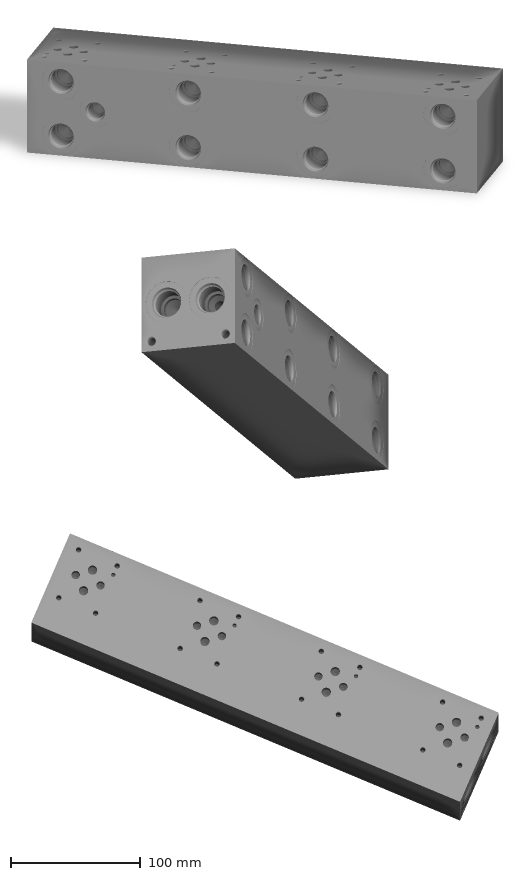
import cadquery as cq
import math

LENGTH = 358.8
SIDE = 76.0

STATIONS = 4
STATION_PITCH = 101.5
FIRST_STATION = 27.0
station_xs = [FIRST_STATION + i * STATION_PITCH for i in range(STATIONS)]

SPOTFACE_DEPTH = 0.5
SEAL_CONE_DEPTH = 2.5
DRILL_POINT_ANGLE = 118.0

WORK_PORT = dict(spotface=30.5, mouth=20.5, throat=19.5, thread=17.5, drill=14.5, thread_depth=14.5, depth=18.0)
GAUGE_PORT = dict(spotface=25.0, mouth=15.8, throat=14.5, thread=13.0, drill=11.5, thread_depth=12.2, depth=15.0)
END_PORT = dict(spotface=34.0, mouth=24.0, throat=22.5, thread=20.5, drill=15.8, thread_depth=16.5, depth=20.0)

WORK_PORT_OFFSET = 22.2
GAUGE_X = 54.0
END_PORT_SPACING = 35.5
PRESSURE_BORE_DIAMETER = 8.0
PRESSURE_BORE_DEPTH = 32.3

MOUNT_MOUTH = 8.0
MOUNT_DRILL = 6.5
MOUNT_DEPTH = 16.0
MOUNT_INSET = 8.0

REAR_BOLT_Y = 50.0
BOLT_ROWS = 40.5
REAR_BOLT_HALF_SPACING = 15.5
FRONT_BOLT_HALF_SPACING = 16.0
BOLT_MOUTH = 4.5
BOLT_DRILL = 4.0
BOLT_DEPTH = 10.8
PIN_DIAMETER = 3.2
PIN_DEPTH = 5.0
PIN_DROP = 33.0
VALVE_PORT_DEPTH = 6.5
AXIAL_PORT_DIAMETER = 7.0
AXIAL_PORT_DROPS = (12.5, 30.0)
SIDE_PORT_DIAMETER = 6.5
SIDE_PORT_HALF_SPACING = 10.5
SIDE_PORT_DROP = 21.5


def point_height(diameter):
    """Height of the cone left by a drill of this diameter."""
    return diameter / 2 / math.tan(math.radians(DRILL_POINT_ANGLE / 2))


def bore(profile):
    """Revolve (radius, depth) points about +Z; the first and last points lie on the axis."""
    return cq.Workplane("XZ").polyline(profile).close().revolve(360, (0, 0), (0, 1))


def drilled_hole(diameter, depth):
    radius = diameter / 2
    return bore([(0, 0), (radius, 0), (radius, depth), (0, depth + point_height(diameter))])


def tapped_hole(mouth, drill, depth):
    """Drilled hole with a 45 degree countersink at its mouth."""
    countersink = (mouth - drill) / 2
    return bore([
        (0, 0),
        (mouth / 2, 0),
        (drill / 2, countersink),
        (drill / 2, depth),
        (0, depth + point_height(drill)),
    ])


def threaded_port(spotface, mouth, throat, thread, drill, thread_depth, depth):
    """Cutter for one port; the seal cone narrows from mouth to throat, then at 45 degrees to the thread."""
    seal_bottom = SPOTFACE_DEPTH + SEAL_CONE_DEPTH
    return bore([
        (0, 0),
        (spotface / 2, 0),
        (spotface / 2, SPOTFACE_DEPTH),
        (mouth / 2, SPOTFACE_DEPTH),
        (throat / 2, seal_bottom),
        (thread / 2, seal_bottom + (throat - thread) / 2),
        (thread / 2, thread_depth),
        (drill / 2, thread_depth),
        (drill / 2, depth),
        (0, depth + point_height(drill)),
    ])


def into_top(tool, x, y):
    return tool.rotate((0, 0, 0), (1, 0, 0), 180).translate((x, y, SIDE))


def into_front(tool, x, z):
    return tool.rotate((0, 0, 0), (1, 0, 0), -90).translate((x, 0, z))


def into_end(tool, y, z):
    return tool.rotate((0, 0, 0), (0, 1, 0), 90).translate((0, y, z))


def valve_pattern(x):
    """All the holes of one valve station centred at x."""
    bolt = tapped_hole(BOLT_MOUTH, BOLT_DRILL, BOLT_DEPTH)
    axial_port = drilled_hole(AXIAL_PORT_DIAMETER, VALVE_PORT_DEPTH)
    side_port = drilled_hole(SIDE_PORT_DIAMETER, VALVE_PORT_DEPTH)
    pin = drilled_hole(PIN_DIAMETER, PIN_DEPTH)

    holes = [into_top(axial_port, x, REAR_BOLT_Y - drop) for drop in AXIAL_PORT_DROPS]
    for side in (-1, 1):
        holes.append(into_top(bolt, x + side * REAR_BOLT_HALF_SPACING, REAR_BOLT_Y))
        holes.append(into_top(bolt, x + side * FRONT_BOLT_HALF_SPACING, REAR_BOLT_Y - BOLT_ROWS))
        holes.append(into_top(side_port, x + side * SIDE_PORT_HALF_SPACING, REAR_BOLT_Y - SIDE_PORT_DROP))
    holes.append(into_top(pin, x - FRONT_BOLT_HALF_SPACING, REAR_BOLT_Y - PIN_DROP))
    return holes


def front_ports():
    work_port = threaded_port(**WORK_PORT)
    ports = [into_front(threaded_port(**GAUGE_PORT), GAUGE_X, SIDE / 2)]
    for x in station_xs:
        for side in (-1, 1):
            ports.append(into_front(work_port, x, SIDE / 2 + side * WORK_PORT_OFFSET))
    return ports


def end_holes():
    """Pressure and tank ports with the two mounting holes below them."""
    port = threaded_port(**END_PORT)
    pressure_y = (SIDE - END_PORT_SPACING) / 2
    tank_y = pressure_y + END_PORT_SPACING
    pressure_bore = drilled_hole(PRESSURE_BORE_DIAMETER, PRESSURE_BORE_DEPTH)
    mount = tapped_hole(MOUNT_MOUTH, MOUNT_DRILL, MOUNT_DEPTH)

    holes = [into_end(tool, pressure_y, SIDE / 2) for tool in (port, pressure_bore)]
    holes.append(into_end(port, tank_y, SIDE / 2))
    for y in (MOUNT_INSET, SIDE - MOUNT_INSET):
        holes.append(into_end(mount, y, MOUNT_INSET))
    return holes


result = cq.Workplane("XY").box(LENGTH, SIDE, SIDE, centered=False)
cutters = front_ports() + end_holes()
for station_x in station_xs:
    cutters += valve_pattern(station_x)
for cutter in cutters:
    result = result.cut(cutter)